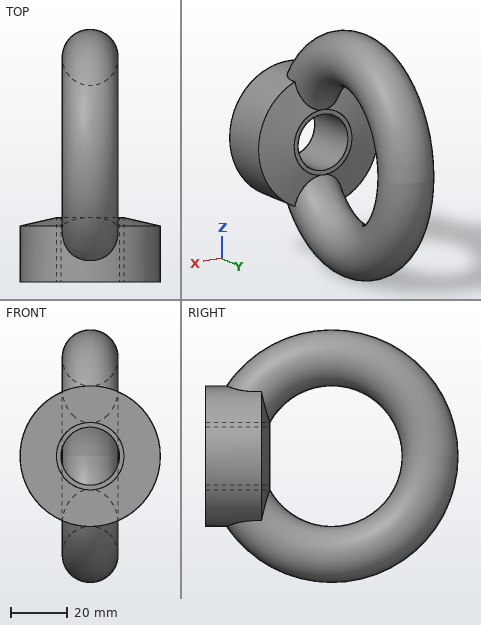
import cadquery as cq

ring_outer_diameter = 90.0
ring_bar_diameter = 20.0
ring_center_radius = (ring_outer_diameter - ring_bar_diameter) / 2

boss_diameter = 50.0
boss_side_length = 20.0
boss_length = 22.95
boss_end_y = -ring_outer_diameter / 2
boss_inner_y = boss_end_y + boss_length

sleeve_outer_diameter = 24.0
sleeve_bore_diameter = 20.7


def make_ring():
    """Torus whose axis is X."""
    return (
        cq.Workplane("XY")
        .center(0, ring_center_radius)
        .circle(ring_bar_diameter / 2)
        .revolve(360, (0, -ring_center_radius), (1, -ring_center_radius))
    )


def make_boss():
    """Cylinder whose inner end tapers as a cone to the edge of the sleeve."""
    shoulder_y = boss_end_y + boss_side_length
    return (
        cq.Workplane("XY")
        .moveTo(0, boss_end_y)
        .lineTo(boss_diameter / 2, boss_end_y)
        .lineTo(boss_diameter / 2, shoulder_y)
        .lineTo(sleeve_outer_diameter / 2, boss_inner_y)
        .lineTo(0, boss_inner_y)
        .close()
        .revolve(360, (0, 0), (0, 1))
    )


def make_cylinder_from_boss_end(diameter, length):
    """Cylinder along +Y that starts at the outer end of the boss."""
    return (
        cq.Workplane("XZ", origin=(0, boss_end_y, 0))
        .circle(diameter / 2)
        .extrude(-length)
    )


def make_eye_nut():
    """Ring and boss in one piece, bored from the boss end into the ring opening."""
    bore_length = ring_outer_diameter / 2
    bore = make_cylinder_from_boss_end(sleeve_outer_diameter, bore_length)
    return make_ring().union(make_boss()).cut(bore)


def make_sleeve():
    """Plain tube, flush with both ends of the boss."""
    tube = make_cylinder_from_boss_end(sleeve_outer_diameter, boss_length)
    return tube.cut(make_cylinder_from_boss_end(sleeve_bore_diameter, boss_length))


eye_nut = make_eye_nut()
sleeve = make_sleeve()

result = cq.Compound.makeCompound([eye_nut.solids().val(), sleeve.solids().val()])